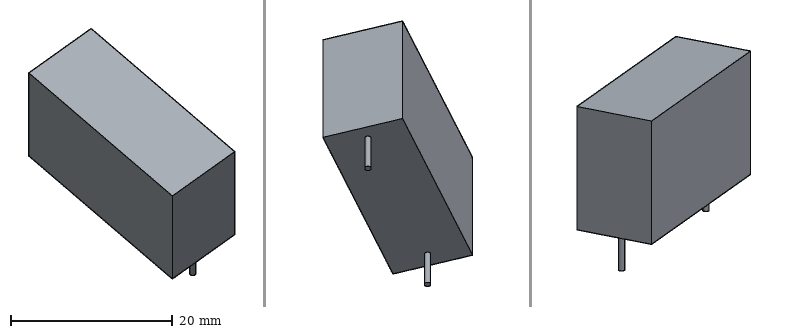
import cadquery as cq

case_length = 26.5
case_width = 10.5
case_height = 16.5

overall_height = 21.6
pin_diameter = 0.8
pin_spacing = 22.5
pin_length = overall_height - case_height


def make_case():
    """Block centred on the Z axis, with its underside at Z = 0."""
    return cq.Workplane("XY").box(
        case_length, case_width, case_height, centered=(True, True, False)
    )


def make_pin(x):
    """Straight pin hanging from the underside of the case."""
    return cq.Workplane("XY").center(x, 0).circle(pin_diameter / 2).extrude(-pin_length)


case = make_case()
pins = [make_pin(side * pin_spacing / 2) for side in (-1, 1)]

result = cq.Compound.makeCompound([case.val(), *[pin.val() for pin in pins]])